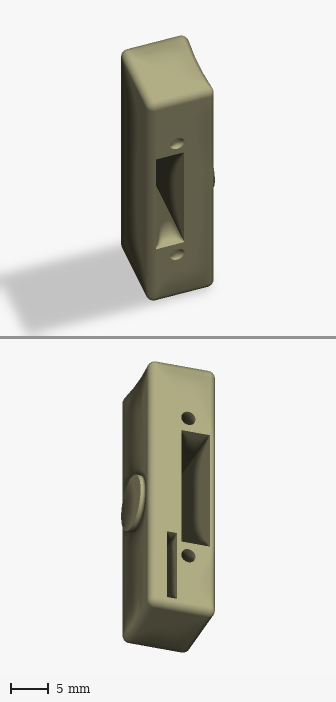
import cadquery as cq

WIDTH = 11.62
LENGTH = 37.5
EDGE_RADIUS = 1.0
SPLIT_Y = 7.0
COVER_CORNER_Y = 9.52
DISH_DEPTH = 0.38

OPENING_WIDTH = 3.98
OPENING_LENGTH = 17.02
OPENING_CENTER_Z = LENGTH / 2
SCREW_DIAMETER = 2.0
SCREW_SPACING = 21.0
SCREW_Y = EDGE_RADIUS + 3.0

SLOT_WIDTH = 1.4
SLOT_LENGTH = 10.05
SLOT_BOTTOM_Z = 1.35
SLOT_DEPTH = 4.0

BUTTON_DIAMETER = 7.6
BUTTON_CENTER_Z = 18.35
BUTTON_TOP_Y = 10.0


def block(size_x, size_y, size_z, corner):
    return cq.Workplane("XY").box(size_x, size_y, size_z, centered=False).translate(corner)


def make_case():
    """Rounded outer shape of the housing and cover together."""
    outline = (
        cq.Workplane("XY")
        .lineTo(WIDTH, 0)
        .lineTo(WIDTH, COVER_CORNER_Y)
        .threePointArc((WIDTH / 2, COVER_CORNER_Y - DISH_DEPTH), (0, COVER_CORNER_Y))
        .close()
    )
    return outline.extrude(LENGTH).edges().fillet(EDGE_RADIUS)


def make_opening():
    bottom_z = OPENING_CENTER_Z - OPENING_LENGTH / 2
    return block(WIDTH, OPENING_WIDTH, OPENING_LENGTH, (0, EDGE_RADIUS, bottom_z))


def make_screw_holes():
    positions = [(SCREW_Y, OPENING_CENTER_Z + side * SCREW_SPACING / 2) for side in (-1, 1)]
    return cq.Workplane("YZ").pushPoints(positions).circle(SCREW_DIAMETER / 2).extrude(WIDTH)


def make_slot():
    return block(SLOT_DEPTH, SLOT_WIDTH, SLOT_LENGTH, (0, SPLIT_Y - SLOT_WIDTH, SLOT_BOTTOM_Z))


def make_button():
    """Disc standing on the housing and rising through the cover along +Y."""
    return (
        cq.Workplane("XZ", origin=(WIDTH / 2, SPLIT_Y, BUTTON_CENTER_Z))
        .circle(BUTTON_DIAMETER / 2)
        .extrude(SPLIT_Y - BUTTON_TOP_Y)
    )


def make_housing(case):
    lower_half = block(WIDTH, SPLIT_Y, LENGTH, (0, 0, 0))
    housing = case.intersect(lower_half)
    return housing.cut(make_opening()).cut(make_screw_holes()).cut(make_slot())


def make_cover(case, button):
    lower_half = block(WIDTH, SPLIT_Y, LENGTH, (0, 0, 0))
    return case.cut(lower_half).cut(button)


case = make_case()
button = make_button()
housing = make_housing(case)
cover = make_cover(case, button)

result = cq.Compound.makeCompound([housing.val(), cover.val(), button.val()])